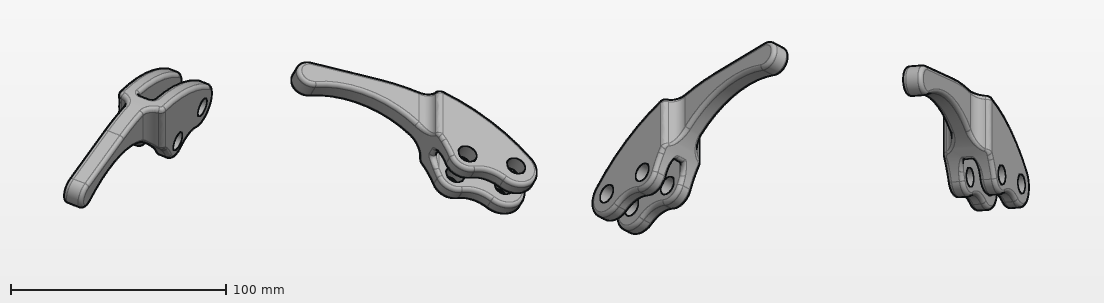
import cadquery as cq
import math


overall_length = 117.26
overall_height = 50.19
body_width = 24.0
handle_width = 10.0

pivot_hole_diameter = 9.0
hole_spacing = 24.2

rear_radius = 11.0
lobe_radius = 9.0
tip_radius = 7.0
back_radius = 100.0
grip_radius = 50.0
saddle_radius = 15.0

slot_width = 8.0
slot_end = 34.4
slot_corner_radius = 2.0

handle_start = 45.8
shoulder_radius = 6.5
shoulder_corner_radius = 3.0

edge_radius = 2.0

rear_center = (0.0, 0.0)
lobe_center = (hole_spacing, 0.0)
tip_forward = overall_length - rear_radius
top_height = overall_height - rear_radius
tip_center = (tip_forward - tip_radius, top_height - tip_radius)
back_drop = back_radius - top_height
back_center = (math.sqrt((back_radius - rear_radius) ** 2 - back_drop**2), -back_drop)


def toward(start, target, distance):
    """Point at a distance from start in the direction of target."""
    span = math.dist(start, target)
    return tuple(a + (b - a) * distance / span for a, b in zip(start, target))


def on_circle(center, radius, degrees):
    """Point on a circle, with the angle counted from forward toward up."""
    angle = math.radians(degrees)
    return (center[0] + radius * math.cos(angle), center[1] + radius * math.sin(angle))


def lower_tangent_center(left, left_radius, right, right_radius, radius):
    """Centre of the circle that touches two circles externally from below."""
    span = math.dist(left, right)
    left_reach = left_radius + radius
    right_reach = right_radius + radius
    along = (left_reach**2 - right_reach**2 + span**2) / (2 * span)
    below = math.sqrt(left_reach**2 - along**2)
    dir_forward = (right[0] - left[0]) / span
    dir_up = (right[1] - left[1]) / span
    return (
        left[0] + along * dir_forward + below * dir_up,
        left[1] + along * dir_up - below * dir_forward,
    )


def side_prism():
    """Lever silhouette of tangent arcs, extruded over the full body width."""
    saddle_center = lower_tangent_center(rear_center, rear_radius, lobe_center, lobe_radius, saddle_radius)
    grip_center = lower_tangent_center(lobe_center, lobe_radius, tip_center, tip_radius, grip_radius)

    back_start = toward(back_center, rear_center, back_radius)
    back_end = on_circle(back_center, back_radius, 90)
    tip_top = on_circle(tip_center, tip_radius, 90)
    tip_end = toward(tip_center, grip_center, tip_radius)
    grip_end = toward(lobe_center, grip_center, lobe_radius)
    lobe_end = toward(lobe_center, saddle_center, lobe_radius)
    saddle_end = toward(rear_center, saddle_center, rear_radius)

    side_plane = cq.Plane(origin=(0, 0, 0), xDir=(0, -1, 0), normal=(-1, 0, 0))
    return (
        cq.Workplane(side_plane)
        .moveTo(*back_start)
        .threePointArc(on_circle(back_center, back_radius, 110), back_end)
        .lineTo(*tip_top)
        .threePointArc(on_circle(tip_center, tip_radius, 0), tip_end)
        .threePointArc(on_circle(grip_center, grip_radius, 90), grip_end)
        .threePointArc(on_circle(lobe_center, lobe_radius, -60), lobe_end)
        .threePointArc(on_circle(saddle_center, saddle_radius, 90), saddle_end)
        .threePointArc(on_circle(rear_center, rear_radius, 180), back_start)
        .close()
        .extrude(body_width / 2, both=True)
    )


def plan_prism():
    """Plan outline: wide body stepping down to the narrow handle through concave shoulders."""
    half_body = body_width / 2
    half_handle = handle_width / 2
    shoulder_x = half_handle + shoulder_radius
    shoulder_y = shoulder_radius - handle_start
    prism = (
        cq.Workplane("XY")
        .moveTo(-half_body, rear_radius)
        .lineTo(half_body, rear_radius)
        .lineTo(half_body, shoulder_y)
        .lineTo(shoulder_x, shoulder_y)
        .radiusArc((half_handle, -handle_start), -shoulder_radius)
        .lineTo(half_handle, -tip_forward)
        .lineTo(-half_handle, -tip_forward)
        .lineTo(-half_handle, -handle_start)
        .radiusArc((-shoulder_x, shoulder_y), -shoulder_radius)
        .lineTo(-half_body, shoulder_y)
        .close()
        .extrude(overall_height, both=True)
    )
    for corner_x in (-half_body, half_body):
        corner = cq.NearestToPointSelector((corner_x, shoulder_y, 0))
        prism = prism.edges("|Z").edges(corner).fillet(shoulder_corner_radius)
    return prism


def fork_slot():
    """Vertical slot with rounded inner corners, running out past the rear of the body."""
    slot_length = slot_end + 2 * rear_radius
    return (
        cq.Workplane("XY")
        .center(0, slot_length / 2 - slot_end)
        .rect(slot_width, slot_length)
        .extrude(overall_height, both=True)
        .edges("|Z")
        .fillet(slot_corner_radius)
    )


def pivot_holes():
    """Two parallel holes across both fork legs."""
    return (
        cq.Workplane("YZ")
        .pushPoints([(-forward, up) for forward, up in (rear_center, lobe_center)])
        .circle(pivot_hole_diameter / 2)
        .extrude(body_width, both=True)
    )


blank = side_prism().intersect(plan_prism()).cut(fork_slot())
rounded = blank.edges("not(|X or |Z)").fillet(edge_radius)
result = rounded.cut(pivot_holes())